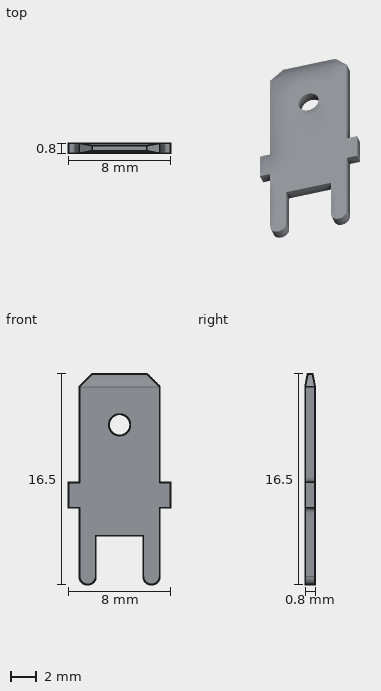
import cadquery as cq

total_height = 16.5
thickness = 0.8
blade_width = 6.3
shoulder_span = 8.0
shoulder_height = 2.0
shoulder_bottom = 6.0
leg_width = 1.3
leg_length = 3.81
hole_diameter = 1.65
hole_height = 12.5
tip_height = 1.0
tip_corner_width = 1.0
tip_thickness = 0.4

half_thickness = thickness / 2
half_blade = blade_width / 2
leg_radius = leg_width / 2
leg_center = half_blade - leg_radius
tip_base = total_height - tip_height


def make_block(width, bottom, top):
    """Full-thickness block centred on X and Y between two heights."""
    return (
        cq.Workplane("XY")
        .workplane(offset=bottom)
        .rect(width, thickness)
        .extrude(top - bottom)
    )


def make_leg(center_x):
    """Solder leg with a semicircular lower end."""
    left = center_x - leg_radius
    right = center_x + leg_radius
    return (
        cq.Workplane("XZ", origin=(0, half_thickness, 0))
        .moveTo(left, leg_length)
        .lineTo(left, leg_radius)
        .threePointArc((center_x, 0), (right, leg_radius))
        .lineTo(right, leg_length)
        .close()
        .extrude(thickness)
    )


def make_tip():
    """Lead-in that tapers in both width and thickness."""
    return (
        cq.Workplane("XY")
        .workplane(offset=tip_base)
        .rect(blade_width, thickness)
        .workplane(offset=tip_height)
        .rect(blade_width - 2 * tip_corner_width, tip_thickness)
        .loft(ruled=True)
    )


def make_hole():
    """Cutter for the round hole through the blade."""
    return (
        cq.Workplane("XZ", origin=(0, half_thickness, 0))
        .center(0, hole_height)
        .circle(hole_diameter / 2)
        .extrude(thickness)
    )


blade = make_block(blade_width, leg_length, tip_base)
shoulders = make_block(shoulder_span, shoulder_bottom, shoulder_bottom + shoulder_height)
result = blade.union(shoulders).union(make_tip())
for side in (-1, 1):
    result = result.union(make_leg(side * leg_center))
result = result.cut(make_hole())